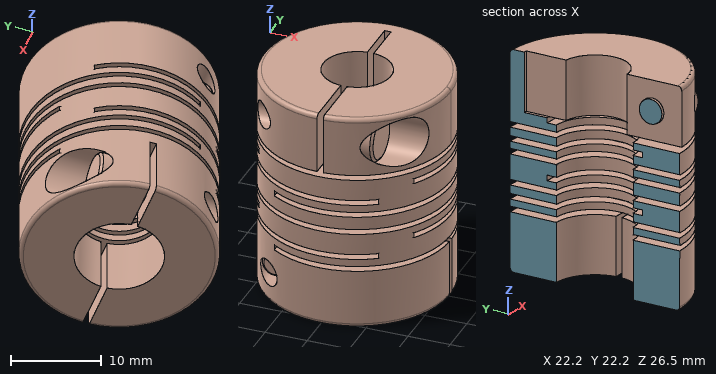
import cadquery as cq

LENGTH = 26.5
DIAMETER = 22.2
RADIUS = DIAMETER / 2
EDGE_FILLET = 0.5
TOP_BORE_DIAMETER = 8.0
LOWER_BORE_DIAMETER = 10.0

SLOT_WIDTH = 0.6
SLOT_REACH = 6.2
TOP_SLOT_Z = 19.03
OPPOSED_SLOT_PITCH = 1.5
CROSSED_PAIR_PITCH = 3.18
SLOT_PERIOD = 2 * TOP_SLOT_Z - LENGTH - CROSSED_PAIR_PITCH - OPPOSED_SLOT_PITCH
PERIODS = 2

SLIT_WIDTH = 0.75
TOP_SLIT_REACH = 9.17
SCREW_OFFSET = 7.25
SCREW_FROM_END = 3.63
SHANK_DIAMETER = 3.0
HEAD_DIAMETER = 5.56
HEAD_CHAMFER = 0.3
TIP_CHAMFER = 0.26
COUNTERBORE_DIAMETER = 5.88

TIP_POSITION = -6.55
HEAD_SEAT = 2.75
HEAD_TOP = 5.75


def range_box(x_range, y_range, z_range):
    """Box spanning the given ranges."""
    lows, highs = zip(x_range, y_range, z_range)
    sizes = [high - low for low, high in zip(lows, highs)]
    return cq.Workplane("XY").box(*sizes, centered=False).translate(lows)


def flexure_slot(z_center, open_angle):
    """Flat slot open toward the given angle around Z, measured from +X."""
    z_range = (z_center - SLOT_WIDTH / 2, z_center + SLOT_WIDTH / 2)
    slot = range_box((-SLOT_REACH, DIAMETER), (-DIAMETER, DIAMETER), z_range)
    return slot.rotate((0, 0, 0), (0, 0, 1), open_angle)


def axial_cylinder(diameter, start, end):
    """Cylinder along X between two X positions."""
    return cq.Workplane("YZ").workplane(offset=start).circle(diameter / 2).extrude(end - start)


def to_top_clamp(shape):
    """Move a shape built along X onto the top screw axis."""
    return shape.translate((0, -SCREW_OFFSET, LENGTH - SCREW_FROM_END))


def to_bottom_clamp(shape):
    """Turn a shape built along X toward +Y and move it onto the bottom screw axis."""
    turned = shape.rotate((0, 0, 0), (0, 0, 1), 90)
    return turned.translate((-SCREW_OFFSET, 0, SCREW_FROM_END))


body = cq.Workplane("XY").circle(RADIUS).extrude(LENGTH)
body = body.faces("<Z or >Z").edges().fillet(EDGE_FILLET)

top_hub_floor = TOP_SLOT_Z + SLOT_WIDTH / 2
bottom_hub_top = LENGTH - top_hub_floor
body = body.cut(cq.Workplane("XY").circle(TOP_BORE_DIAMETER / 2).extrude(LENGTH))
body = body.cut(cq.Workplane("XY").circle(LOWER_BORE_DIAMETER / 2).extrude(top_hub_floor))

for period in range(PERIODS):
    for pair, open_angle in enumerate((-90, 180)):
        pair_z = TOP_SLOT_Z - period * SLOT_PERIOD - pair * CROSSED_PAIR_PITCH
        body = body.cut(flexure_slot(pair_z, open_angle))
        body = body.cut(flexure_slot(pair_z - OPPOSED_SLOT_PITCH, open_angle + 180))

slit_range = (-SLIT_WIDTH / 2, SLIT_WIDTH / 2)
body = body.cut(range_box(slit_range, (-DIAMETER, TOP_SLIT_REACH), (top_hub_floor, LENGTH)))
body = body.cut(range_box((-DIAMETER, DIAMETER), slit_range, (0, bottom_hub_top)))

screw_hole = axial_cylinder(SHANK_DIAMETER, -DIAMETER, HEAD_SEAT)
screw_hole = screw_hole.union(axial_cylinder(COUNTERBORE_DIAMETER, HEAD_SEAT, DIAMETER))
shank = axial_cylinder(SHANK_DIAMETER, TIP_POSITION, HEAD_SEAT).faces("<X").chamfer(TIP_CHAMFER)
head = axial_cylinder(HEAD_DIAMETER, HEAD_SEAT, HEAD_TOP).faces(">X").chamfer(HEAD_CHAMFER)
screw = shank.union(head)
for place in (to_top_clamp, to_bottom_clamp):
    body = body.cut(place(screw_hole)).union(place(screw))

result = body